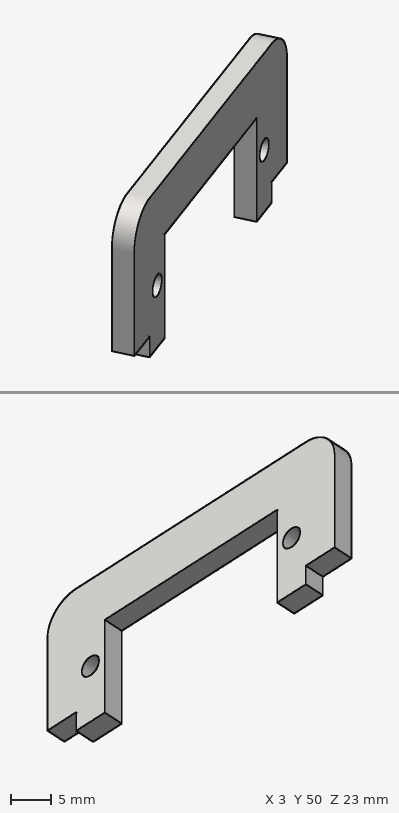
import cadquery as cq

thickness = 3.0
width = 50.0
body_height = 20.0

leg_width = 10.0
bridge_height = 8.0
corner_radius = 5.0

tab_width = 5.0
tab_height = 3.0

hole_diameter = 3.0
hole_edge_distance = 7.5
hole_height = 6.0

half_width = width / 2
opening_half_width = half_width - leg_width
opening_top = body_height - bridge_height
hole_offset = half_width - hole_edge_distance


def block(y_center, y_size, z_bottom, z_top):
    """Box through the full thickness, spanning the given Y and Z ranges."""
    z_size = z_top - z_bottom
    return (
        cq.Workplane("XY")
        .box(thickness, y_size, z_size)
        .translate((0, y_center, z_bottom + z_size / 2))
    )


def arch():
    """Plate with rounded upper corners and an opening between the legs."""
    plate = block(0, width, 0, body_height).edges("|X and >Z").fillet(corner_radius)
    return plate.cut(block(0, 2 * opening_half_width, 0, opening_top))


def tab(side):
    """Tab flush with the inner side of one leg; side is -1 or +1 along Y."""
    y_center = side * (opening_half_width + tab_width / 2)
    return block(y_center, tab_width, -tab_height, opening_top)


def leg_holes():
    """Cylinders that cut the through hole of each leg."""
    return (
        cq.Workplane("YZ")
        .pushPoints([(-hole_offset, hole_height), (hole_offset, hole_height)])
        .circle(hole_diameter / 2)
        .extrude(thickness, both=True)
    )


result = arch()
for side in (-1, 1):
    result = result.union(tab(side))
result = result.cut(leg_holes()).clean()